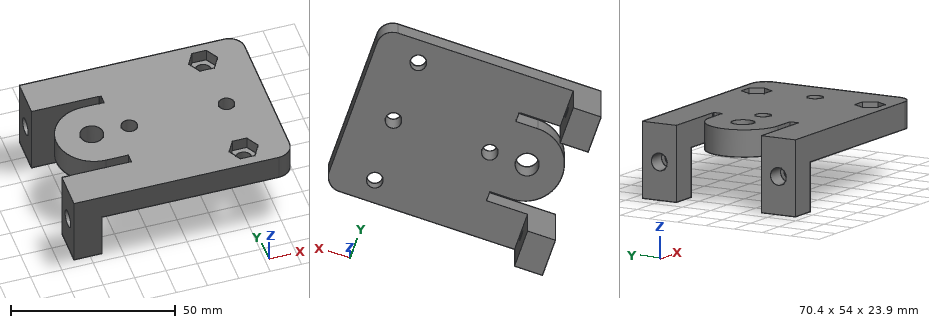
import cadquery as cq

length = 70.38
width = 54.0
height = 23.94
plate_thickness = 8.5
corner_radius = 5.0

arm_width = 12.0
leg_thickness = 9.0
slot_end_x = 22.2
tongue_width = 24.0
tongue_radius = tongue_width / 2
tongue_tip_x = 3.1

corner_step_length = 0.6
corner_step_depth = 0.15

pivot_diameter = 7.25
pivot_x = 14.4
bolt_diameter = 5.0
centre_bolt_xs = (26.4, 57.4)
nut_x = 56.4
nut_y = 20.0
nut_across_corners = 9.24
nut_depth = 4.0

leg_hole_diameter = 3.0
leg_counterbore_diameter = 5.5
leg_counterbore_depth = 6.0
leg_hole_z = -12.0
leg_hole_y = (width - arm_width) / 2

cut_margin = 1.0


def block(x_start, x_end, y_start, y_end, depth):
    """Box hanging down from the top face."""
    box = cq.Workplane("XY").box(x_end - x_start, y_end - y_start, depth, centered=False)
    return box.translate((x_start, y_start, -depth))


def make_plate():
    plate = block(0, length, -width / 2, width / 2, plate_thickness)
    plate = plate.edges("|Z and >X").fillet(corner_radius)
    gap_half_width = width / 2 - arm_width
    gap = block(-cut_margin, slot_end_x, -gap_half_width, gap_half_width, plate_thickness)
    corner_step = block(
        slot_end_x - corner_step_length,
        slot_end_x,
        gap_half_width - corner_step_depth,
        gap_half_width,
        plate_thickness,
    )
    return plate.cut(gap.cut(corner_step))


def make_tongue():
    arc_centre_x = tongue_tip_x + tongue_radius
    return (
        cq.Workplane("XY")
        .moveTo(slot_end_x, tongue_radius)
        .lineTo(arc_centre_x, tongue_radius)
        .threePointArc((tongue_tip_x, 0), (arc_centre_x, -tongue_radius))
        .lineTo(slot_end_x, -tongue_radius)
        .close()
        .extrude(-plate_thickness)
    )


def make_leg(side):
    y_start = side * leg_hole_y - arm_width / 2
    return block(0, leg_thickness, y_start, y_start + arm_width, height)


def vertical_hole(x, y, diameter):
    return cq.Workplane("XY").center(x, y).circle(diameter / 2).extrude(-plate_thickness)


def nut_pocket(x, y):
    return cq.Workplane("XY").center(x, y).polygon(6, nut_across_corners).extrude(-nut_depth)


def leg_hole(side):
    face = cq.Workplane("YZ").center(side * leg_hole_y, leg_hole_z)
    bore = face.circle(leg_hole_diameter / 2).extrude(leg_thickness)
    counterbore = face.circle(leg_counterbore_diameter / 2).extrude(leg_counterbore_depth)
    return bore.union(counterbore)


result = make_plate().union(make_tongue())
result = result.cut(vertical_hole(pivot_x, 0, pivot_diameter))
for bolt_x in centre_bolt_xs:
    result = result.cut(vertical_hole(bolt_x, 0, bolt_diameter))

for side in (-1, 1):
    result = result.union(make_leg(side))
    result = result.cut(leg_hole(side))
    result = result.cut(vertical_hole(nut_x, side * nut_y, bolt_diameter))
    result = result.cut(nut_pocket(nut_x, side * nut_y))